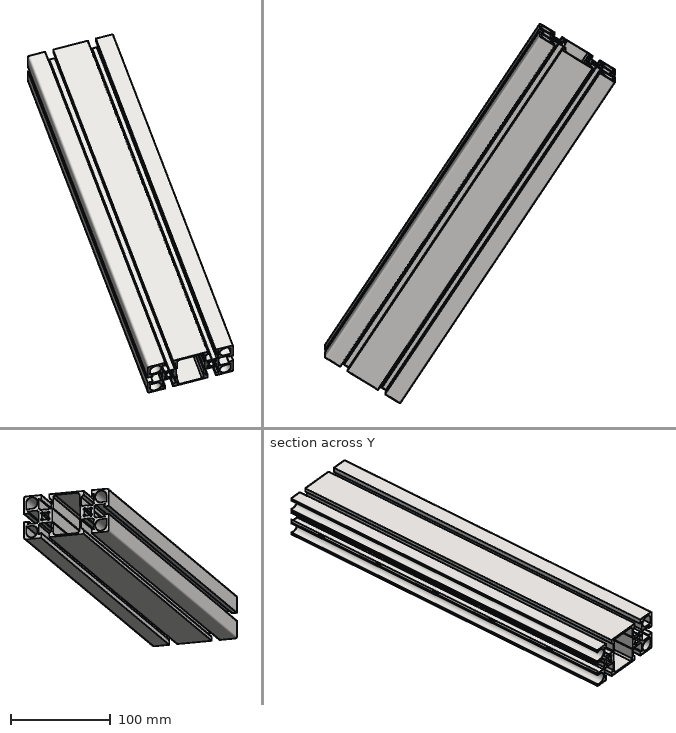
import cadquery as cq

length = 400.0
width = 90.0
height = width / 2
module_y = width / 4
corner_radius = 2.5

slot_opening = 8.5
slot_chamber_width = 13.0
slot_half_chamber = slot_chamber_width / 2
lip_tip_depth = 5.0
lip_root_depth = 4.0
flange_edge_depth = 4.0
flange_root_depth = 6.5
chamber_chamfer = 1.5
flange_chamfer = 1.0

core_size = 14.0
core_half = core_size / 2
core_bore_radius = 3.8
core_relief_length = 11.0
core_relief_width = 2.0
groove_width = 1.0
groove_depth = 0.2

corner_bore_radius = 6.0
corner_side_wall = 2.5
corner_face_wall = 1.5

central_half_width = 14.0
central_face_wall = 1.5
central_chamfer = 2.0
recess_half_width = 15.0
recess_height = 14.5

half_width = width / 2
half_height = height / 2
slot_half_opening = slot_opening / 2


def prism(points):
    """Extrude a closed (Y, Z) outline over the full length."""
    return cq.Workplane("YZ").polyline(points).close().extrude(length)


def four_corners(body):
    """Join a body with its mirror images in Y and Z."""
    pair = body.union(body.mirror("XZ"))
    return pair.union(pair.mirror("XY"))


def groove_points(floor):
    """Small V-groove running along the middle of a slot floor at the given level."""
    half = groove_width / 2
    return [(half, floor), (0, floor - groove_depth), (-half, floor)]


def tube_side(face, floor):
    """Half slot beside a corner tube: hooked lip, chamber wall and chamfered floor corner."""
    return [
        (slot_half_opening, face),
        (slot_half_opening, face - lip_tip_depth),
        (slot_half_chamber, face - lip_root_depth),
        (slot_half_chamber, floor + chamber_chamfer),
        (slot_half_chamber - chamber_chamfer, floor),
    ]


def side_slot():
    """Slot in the +Y face; both of its sides are corner tubes."""
    floor = module_y + core_half
    upper = tube_side(half_width, floor)
    lower = [(-across, level) for across, level in reversed(upper)]
    outline = upper + groove_points(floor) + lower
    return prism([(level, across) for across, level in outline])


def top_slot():
    """Slot in the +Z face between a corner tube and the central flange."""
    floor = core_half
    flange_side = [
        (flange_chamfer - slot_half_chamber, floor),
        (-slot_half_chamber, floor + flange_chamfer),
        (-slot_half_chamber, half_height - flange_root_depth),
        (-slot_half_opening, half_height - flange_edge_depth),
        (-slot_half_opening, half_height),
    ]
    outline = tube_side(half_height, floor) + groove_points(floor) + flange_side
    return prism([(module_y + across, level) for across, level in outline])


def core_bore():
    """Round bore with four diagonal reliefs."""
    bore = cq.Workplane("YZ").center(module_y, 0).circle(core_bore_radius).extrude(length)
    for angle in (45, 135):
        diagonal = cq.Workplane("YZ").center(module_y, 0).transformed(rotate=(0, 0, angle))
        bore = bore.union(diagonal.rect(core_relief_length, core_relief_width).extrude(length))
    return bore


def corner_bore():
    """Round chamber squared off in its quarter towards the outer side and the side slot."""
    center_y = half_width - corner_side_wall - corner_bore_radius
    center_z = half_height - corner_face_wall - corner_bore_radius
    bore = cq.Workplane("YZ").center(center_y, center_z).circle(corner_bore_radius).extrude(length)
    offset = corner_bore_radius / 2
    squared = (cq.Workplane("YZ").center(center_y + offset, center_z - offset)
               .rect(corner_bore_radius, corner_bore_radius).extrude(length))
    return bore.union(squared)


def central_chamber():
    """Central opening with chamfered corners, widened beside the cores."""
    opening = (cq.Workplane("YZ").rect(2 * central_half_width, height - 2 * central_face_wall)
               .extrude(length).edges("|X").chamfer(central_chamfer))
    recess = cq.Workplane("YZ").rect(2 * recess_half_width, recess_height).extrude(length)
    return opening.union(recess)


profile = cq.Workplane("YZ").rect(width, height).extrude(length).edges("|X").fillet(corner_radius)
for cavity in (side_slot(), top_slot(), core_bore(), corner_bore()):
    profile = profile.cut(four_corners(cavity))
result = profile.cut(central_chamber())